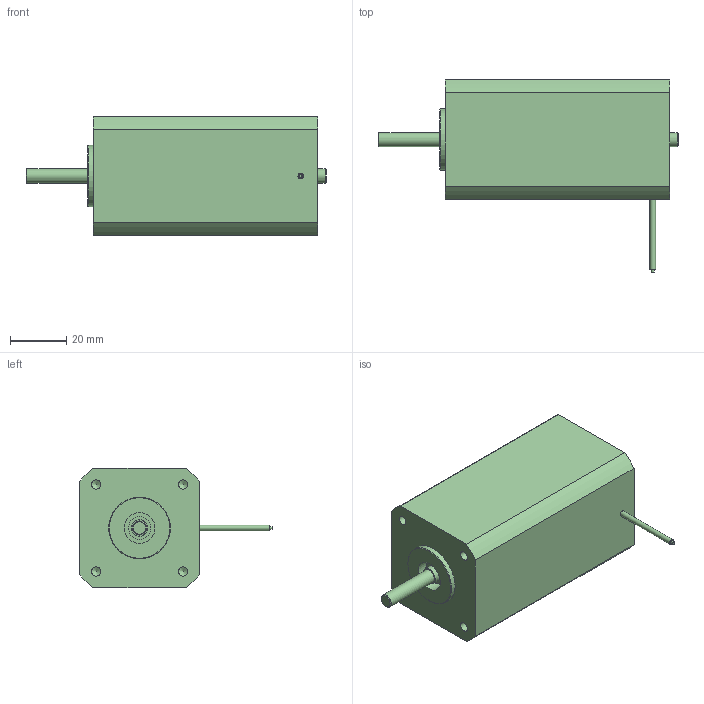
import cadquery as cq
import math

BODY_LENGTH = 80.0
BODY_WIDTH = 42.5
CORNER_DIAMETER = 54.0

BOSS_DIAMETER = 22.0
BOSS_HEIGHT = 2.0
BOSS_CHAMFER = 0.2
RECESS_DIAMETER = 11.0
RECESS_DEPTH = 4.2

COLLAR_DIAMETER = 8.0
COLLAR_HEIGHT = 2.0
COLLAR_STEP_DIAMETER = 6.0

SHAFT_DIAMETER = 5.0
FRONT_SHAFT_LENGTH = 24.0
REAR_SHAFT_LENGTH = 3.0
SHAFT_CHAMFER = 0.3

HOLE_PITCH = 31.0
HOLE_DIAMETER = 3.3
HOLE_DEPTH = 4.5
DRILL_POINT_ANGLE = 118.0

CABLE_X = 74.0
CABLE_DIAMETER = 2.0
CABLE_LENGTH = 25.0
CONDUCTOR_DIAMETER = 1.0
CONDUCTOR_LENGTH = 1.0


def x_cylinder(diameter, start_x, end_x):
    """Cylinder on the X axis between two X positions."""
    return cq.Workplane("YZ", origin=(start_x, 0, 0)).circle(diameter / 2).extrude(end_x - start_x)


def make_body():
    prism = cq.Workplane("YZ").rect(BODY_WIDTH, BODY_WIDTH).extrude(BODY_LENGTH)
    return prism.intersect(x_cylinder(CORNER_DIAMETER, 0, BODY_LENGTH))


def add_pilot_boss(body):
    """Add the chamfered boss, sink its recess and stand the stepped collar in it."""
    boss_face_x = -BOSS_HEIGHT
    recess_floor_x = boss_face_x + RECESS_DEPTH
    boss = x_cylinder(BOSS_DIAMETER, boss_face_x, 0).faces("<X").chamfer(BOSS_CHAMFER)
    recess = x_cylinder(RECESS_DIAMETER, boss_face_x, recess_floor_x)
    collar = x_cylinder(COLLAR_DIAMETER, recess_floor_x - COLLAR_HEIGHT, recess_floor_x)
    collar_step = x_cylinder(COLLAR_STEP_DIAMETER, boss_face_x, recess_floor_x)
    return body.union(boss).cut(recess).union(collar).union(collar_step)


def make_mounting_hole():
    """Drilled hole on the X axis, entering at X = 0."""
    radius = HOLE_DIAMETER / 2
    point_depth = radius / math.tan(math.radians(DRILL_POINT_ANGLE / 2))
    profile = cq.Workplane("XY").polyline([
        (0, 0),
        (0, radius),
        (HOLE_DEPTH, radius),
        (HOLE_DEPTH + point_depth, 0),
    ]).close()
    return profile.revolve(360, (0, 0, 0), (1, 0, 0))


def drill_mounting_holes(body):
    """Cut one hole near each corner of the front face."""
    mounting_hole = make_mounting_hole()
    offset = HOLE_PITCH / 2
    for hole_y in (-offset, offset):
        for hole_z in (-offset, offset):
            body = body.cut(mounting_hole.translate((0, hole_y, hole_z)))
    return body


def make_shaft():
    shaft = x_cylinder(SHAFT_DIAMETER, -FRONT_SHAFT_LENGTH, BODY_LENGTH + REAR_SHAFT_LENGTH)
    return shaft.faces("<X or >X").chamfer(SHAFT_CHAMFER)


def make_cable():
    """Cable and conductor, starting on the motor's centre plane so that they join the body."""
    insulated_end = BODY_WIDTH / 2 + CABLE_LENGTH
    plane = cq.Workplane("XZ", origin=(CABLE_X, 0, 0))
    insulation = plane.circle(CABLE_DIAMETER / 2).extrude(insulated_end)
    conductor = plane.circle(CONDUCTOR_DIAMETER / 2).extrude(insulated_end + CONDUCTOR_LENGTH)
    return insulation.union(conductor)


result = add_pilot_boss(make_body())
result = drill_mounting_holes(result)
result = result.union(make_shaft()).union(make_cable())